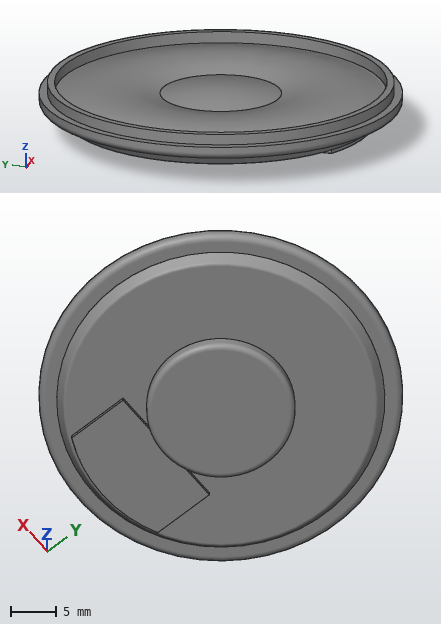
import cadquery as cq
import math

total_height = 5.8
rim_height = 1.2
flange_bottom = -2.65
plate_bottom = -4.05
pad_bottom = -4.55

flange_radius = 20.0
rim_outer_radius = 19.1
rim_inner_radius = 18.3
cone_top_radius = 18.05
cone_side_angle = 30.0
boss_radius = 8.15

flange_fillet = 0.7
plate_fillet = 0.4
boss_fillet = 0.6

recess_depth = 1.3
swell_outer_radius = 17.95
dome_radius = 6.7
surface_rise = 0.75

pad_outer_radius = 16.85
pad_width = 14.95
pad_inner_edge = 7.75


def disc(radius, bottom, top):
    return cq.Workplane("XY").workplane(offset=bottom).circle(radius).extrude(top - bottom)


def make_flange():
    flange = disc(flange_radius, flange_bottom, -rim_height)
    return flange.faces("<Z").edges().fillet(flange_fillet)


def make_cone():
    drop = flange_bottom - plate_bottom
    cone = (
        cq.Workplane("XY")
        .workplane(offset=flange_bottom)
        .circle(cone_top_radius)
        .extrude(-drop, taper=cone_side_angle)
    )
    return cone.faces("<Z").edges().fillet(plate_fillet)


def make_boss():
    boss = disc(boss_radius, -total_height, flange_bottom)
    return boss.faces("<Z").edges().fillet(boss_fillet)


def make_pad():
    half_width = pad_width / 2
    corner_distance = math.sqrt(pad_outer_radius**2 - half_width**2)
    return (
        cq.Workplane("XY")
        .workplane(offset=pad_bottom)
        .moveTo(-half_width, -pad_inner_edge)
        .lineTo(half_width, -pad_inner_edge)
        .lineTo(half_width, -corner_distance)
        .threePointArc((0, -pad_outer_radius), (-half_width, -corner_distance))
        .close()
        .extrude(flange_bottom - pad_bottom)
    )


def make_recess():
    floor = -recess_depth
    swell_middle = (dome_radius + swell_outer_radius) / 2
    dome_sphere_radius = (dome_radius**2 + surface_rise**2) / (2 * surface_rise)
    dome_peak = floor + surface_rise
    mid_radius = dome_radius / 2
    mid_height = dome_peak - dome_sphere_radius + math.sqrt(dome_sphere_radius**2 - mid_radius**2)
    return (
        cq.Workplane("XZ")
        .moveTo(0, 0)
        .lineTo(rim_inner_radius, 0)
        .lineTo(rim_inner_radius, floor)
        .lineTo(swell_outer_radius, floor)
        .threePointArc((swell_middle, floor + surface_rise), (dome_radius, floor))
        .threePointArc((mid_radius, mid_height), (0, dome_peak))
        .close()
        .revolve(360, (0, 0, 0), (0, 1, 0))
    )


rim = disc(rim_outer_radius, flange_bottom, 0)
result = (
    rim.union(make_flange())
    .union(make_cone())
    .union(make_boss())
    .union(make_pad())
    .cut(make_recess())
)